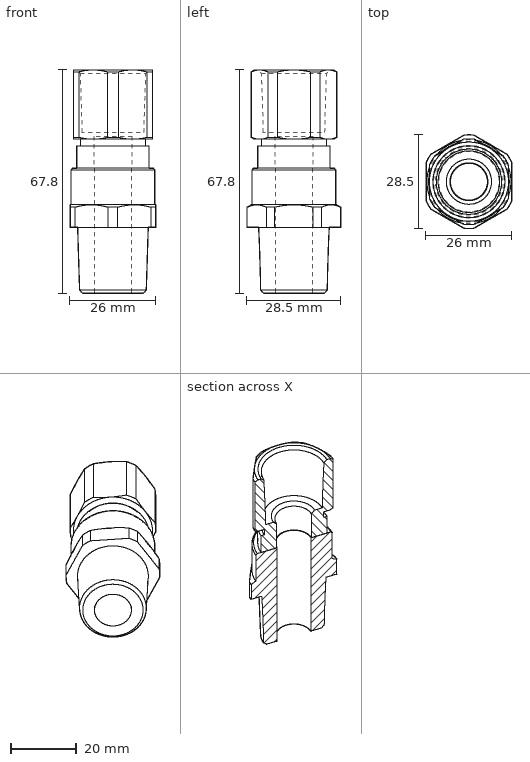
import cadquery as cq
import math

OVERALL_HEIGHT = 67.75
THREAD_LENGTH = 20.0
BODY_HEX_TOP = 27.0
BODY_TOP = 38.0
NUT_HEIGHT = 21.0
RELIEF_HEIGHT = 2.0
NUT_BOTTOM = OVERALL_HEIGHT - NUT_HEIGHT
COLLAR_TOP = NUT_BOTTOM - RELIEF_HEIGHT

BODY_FLATS = 26.0
BODY_CORNER_DIAMETER = 28.5
BODY_DIAMETER = 25.5
BODY_TOP_CHAMFER = 0.5
THREAD_END_DIAMETER = 20.3
THREAD_END_CHAMFER = 1.0
BODY_BORE_DIAMETER = 11.2

NUT_FLATS = 24.0
NUT_CORNER_DIAMETER = 26.0
NUT_FACE_DIAMETER = 24.0
COLLAR_DIAMETER = 22.0
RELIEF_DIAMETER = 19.8
SOCKET_DEPTH = 19.0
SOCKET_MOUTH_DIAMETER = 19.8
SOCKET_MOUTH_CHAMFER = 1.0
SEAT_DIAMETER = 13.7
INSERT_BORE_DIAMETER = 11.5

THREAD_TAPER = 1 / 16
CORNER_CHAMFER_ANGLE = 30.0

HALF_SIDE_ANGLE = 30.0


def cylinder(diameter, bottom, top):
    """Upright cylinder between two heights."""
    return cq.Workplane("XY").workplane(offset=bottom).circle(diameter / 2).extrude(top - bottom)


def revolve_profile(points):
    """Turn a closed (radius, height) outline around the Z axis."""
    return cq.Workplane("XZ").polyline(points).close().revolve(360, (0, 0), (0, 1))


def hexagon(flats, bottom, top):
    """Hexagonal prism with two flats facing +X and -X."""
    corner_to_corner = flats / math.cos(math.radians(HALF_SIDE_ANGLE))
    prism = cq.Workplane("XY").workplane(offset=bottom).polygon(6, corner_to_corner).extrude(top - bottom)
    return prism.rotate((0, 0, 0), (0, 0, 1), HALF_SIDE_ANGLE)


def corner_drop(face_diameter, corner_diameter):
    """Height of the conical chamfer that runs from an end face out to the corners."""
    return (corner_diameter - face_diameter) / 2 * math.tan(math.radians(CORNER_CHAMFER_ANGLE))


def make_body():
    """Male body: tapered thread, hexagon and round housing."""
    hex_radius = BODY_CORNER_DIAMETER / 2
    hex_envelope = revolve_profile([
        (0, THREAD_LENGTH),
        (hex_radius, THREAD_LENGTH),
        (hex_radius, BODY_HEX_TOP - corner_drop(BODY_DIAMETER, BODY_CORNER_DIAMETER)),
        (BODY_DIAMETER / 2, BODY_HEX_TOP),
        (0, BODY_HEX_TOP),
    ])
    hex_section = hexagon(BODY_FLATS, THREAD_LENGTH, BODY_HEX_TOP).intersect(hex_envelope)

    thread_end_radius = THREAD_END_DIAMETER / 2
    thread_root_radius = thread_end_radius + (THREAD_LENGTH - THREAD_END_CHAMFER) * THREAD_TAPER / 2
    thread = revolve_profile([
        (0, 0),
        (thread_end_radius - THREAD_END_CHAMFER, 0),
        (thread_end_radius, THREAD_END_CHAMFER),
        (thread_root_radius, THREAD_LENGTH),
        (0, THREAD_LENGTH),
    ])

    housing = cylinder(BODY_DIAMETER, BODY_HEX_TOP, BODY_TOP).faces(">Z").chamfer(BODY_TOP_CHAMFER)
    bore = cylinder(BODY_BORE_DIAMETER, 0, BODY_TOP)
    return thread.union(hex_section).union(housing).cut(bore)


def make_insert():
    """Female insert: collar, relief groove and hexagon with a tapered socket."""
    corner_radius = NUT_CORNER_DIAMETER / 2
    face_radius = NUT_FACE_DIAMETER / 2
    drop = corner_drop(NUT_FACE_DIAMETER, NUT_CORNER_DIAMETER)
    nut_envelope = revolve_profile([
        (0, NUT_BOTTOM),
        (face_radius, NUT_BOTTOM),
        (corner_radius, NUT_BOTTOM + drop),
        (corner_radius, OVERALL_HEIGHT - drop),
        (face_radius, OVERALL_HEIGHT),
        (0, OVERALL_HEIGHT),
    ])
    nut = hexagon(NUT_FLATS, NUT_BOTTOM, OVERALL_HEIGHT).intersect(nut_envelope)
    collar = cylinder(COLLAR_DIAMETER, BODY_TOP, COLLAR_TOP)
    relief = cylinder(RELIEF_DIAMETER, COLLAR_TOP, NUT_BOTTOM)

    bore_radius = INSERT_BORE_DIAMETER / 2
    seat_radius = SEAT_DIAMETER / 2
    mouth_radius = SOCKET_MOUTH_DIAMETER / 2
    floor = OVERALL_HEIGHT - SOCKET_DEPTH
    cavity = revolve_profile([
        (0, BODY_TOP),
        (bore_radius, BODY_TOP),
        (bore_radius, floor - (seat_radius - bore_radius)),
        (seat_radius, floor),
        (mouth_radius - (SOCKET_DEPTH - SOCKET_MOUTH_CHAMFER) * THREAD_TAPER / 2, floor),
        (mouth_radius, OVERALL_HEIGHT - SOCKET_MOUTH_CHAMFER),
        (mouth_radius + SOCKET_MOUTH_CHAMFER, OVERALL_HEIGHT),
        (0, OVERALL_HEIGHT),
    ])
    return collar.union(relief).union(nut).cut(cavity)


body = make_body()
insert = make_insert()
result = cq.Compound.makeCompound([body.val(), insert.val()])